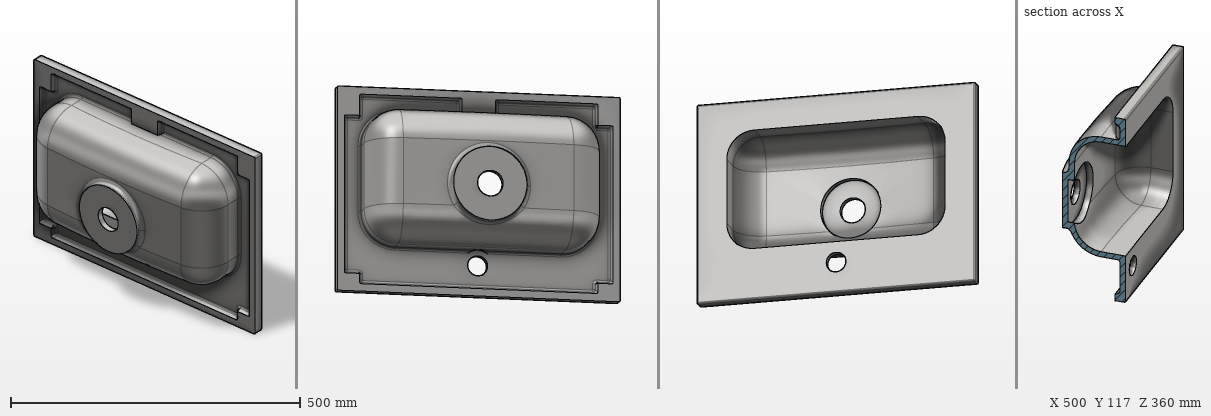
import cadquery as cq

plate_width = 500.0
plate_height = 360.0
plate_thick = 20.0
plate_edge_radius = 3.0

shell_thick = 11.0
pocket_depth = plate_thick - shell_thick
pocket_draft = 27.0
pocket_floor_radius = 4.5
pocket_corner_radius = 4.0
pocket_half_width = 237.5
pocket_neck_half_width = 210.5
pocket_half_height = 167.0
pocket_step_top = 129.5
pocket_step_bottom = -149.0
tab_half_width = 29.5

bowl_width = 414.0
bowl_height = 236.0
bowl_center_z = 19.0
bowl_radius = 60.0
bowl_end_depth = 97.0
bowl_crown = 8.5

drain_end_depth = 117.0
drain_radius = 65.0
drain_land = 4.0
drain_flare_radius = 8.5
drain_hole_diameter = 45.0
tap_center_z = -125.0
tap_hole_diameter = 35.0
tap_seat_radius = 27.5


def cylinder(radius, start_depth, end_depth, center_z=0.0):
    """Cylinder along Y between two depths below the plate's top face."""
    return (
        cq.Workplane("XZ", origin=(0, -start_depth, center_z))
        .circle(radius)
        .extrude(end_depth - start_depth)
    )


def bowl(inset):
    """Rounded bowl with a gently crowned bottom, shrunk on every outer side by inset."""
    half_width = bowl_width / 2 - inset
    half_height = bowl_height / 2 - inset
    end_depth = bowl_end_depth - inset
    return (
        cq.Workplane("XY", origin=(0, 0, bowl_center_z - half_height))
        .moveTo(-half_width, 0)
        .lineTo(-half_width, -end_depth)
        .threePointArc((0, -end_depth - bowl_crown), (half_width, -end_depth))
        .lineTo(half_width, 0)
        .close()
        .extrude(2 * half_height)
        .edges("not >Y")
        .fillet(bowl_radius - inset)
    )


def rim_plate():
    return (
        cq.Workplane("XY")
        .box(plate_width, plate_thick, plate_height)
        .translate((0, -plate_thick / 2, 0))
        .edges("|Y or >Y")
        .fillet(plate_edge_radius)
    )


def pocket():
    """Stepped pocket around the bowl, interrupted at the top by a tab reaching the bowl."""
    outline = [
        (tab_half_width, bowl_center_z),
        (tab_half_width, pocket_half_height),
        (pocket_neck_half_width, pocket_half_height),
        (pocket_neck_half_width, pocket_step_top),
        (pocket_half_width, pocket_step_top),
        (pocket_half_width, pocket_step_bottom),
        (pocket_neck_half_width, pocket_step_bottom),
        (pocket_neck_half_width, -pocket_half_height),
    ]
    mirrored = [(-x, z) for x, z in reversed(outline)]
    block = (
        cq.Workplane("XZ", origin=(0, -plate_thick, 0))
        .polyline(outline + mirrored)
        .close()
        .extrude(-pocket_depth, taper=pocket_draft)
        .edges("not(<Y or >Y)")
        .fillet(pocket_corner_radius)
    )
    bowl_core = (
        cq.Workplane("XZ", origin=(0, 0, bowl_center_z))
        .rect(bowl_width, bowl_height)
        .extrude(plate_thick)
        .edges("|Y")
        .fillet(bowl_radius)
    )
    return block.cut(bowl_core).faces(">Y").edges().fillet(pocket_floor_radius)


def outer_body():
    """Plate and bowl with the drain boss blended into the bowl's bottom."""
    body = rim_plate().union(bowl(0)).union(cylinder(drain_radius, plate_thick, drain_end_depth))
    root_edges = cq.selectors.BoxSelector(
        (-drain_radius - 5, -drain_end_depth + drain_land, -drain_radius - 5),
        (drain_radius + 5, -bowl_end_depth / 2, drain_radius + 5),
        boundingbox=True,
    )
    return body.edges(root_edges).fillet(drain_flare_radius)


result = (
    outer_body()
    .cut(pocket())
    .cut(bowl(shell_thick))
    .cut(cylinder(drain_radius - shell_thick, plate_thick, drain_end_depth - shell_thick))
    .cut(cylinder(drain_hole_diameter / 2, 0, drain_end_depth))
    .cut(cylinder(tap_seat_radius, shell_thick, plate_thick, tap_center_z))
    .cut(cylinder(tap_hole_diameter / 2, 0, plate_thick, tap_center_z))
)